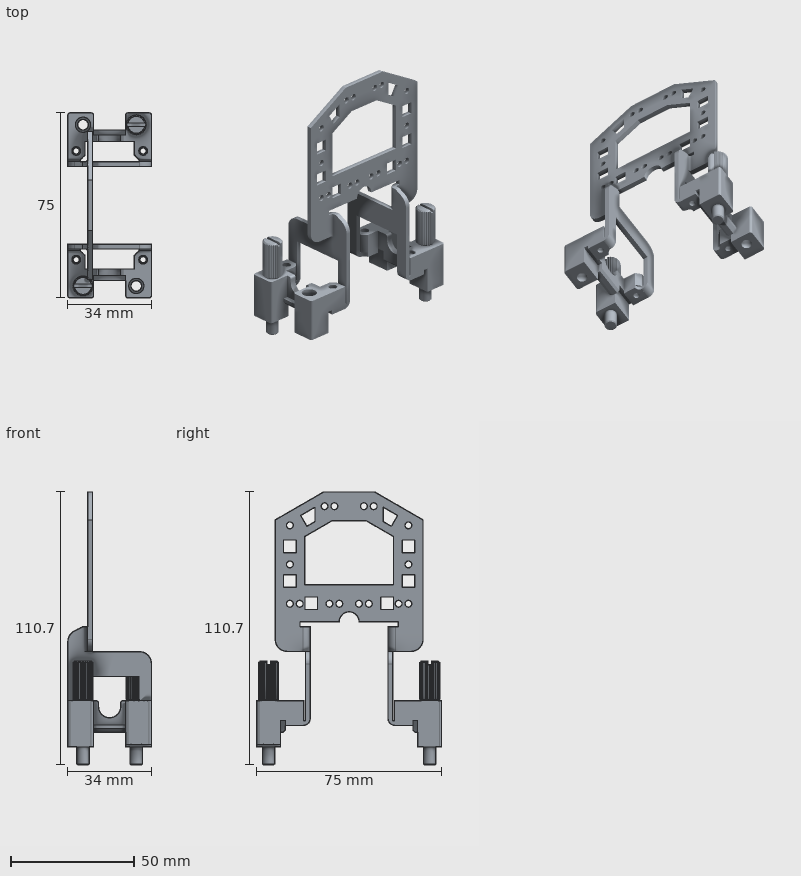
import cadquery as cq
import math

WIDTH = 34.0
DEPTH = 75.0
TOTAL_HEIGHT = 110.7
HALF_WIDTH = WIDTH / 2
HALF_DEPTH = DEPTH / 2
OVERLAP = 0.1
DIAGONAL = math.sqrt(0.5)

SHEET = 2.0
BEND_INNER = 1.0
BEND_OUTER = BEND_INNER + SHEET
CORNER_RADIUS = 5.0

FOOT_LENGTH = 7.3
FOOT_RADIUS = 2.5
FOOT_CHAMFER = 0.4
HEAD_RADIUS = 4.1
HEAD_ROOT_RADIUS = 3.8
HEAD_HEIGHT = 16.0
HEAD_CHAMFER = 0.7
KNURL_TEETH = 32
DRIVER_SLOT_WIDTH = 1.4
DRIVER_SLOT_DEPTH = 1.4
SCREW_FROM_SIDE = 6.2
SCREW_FROM_END = 4.9

BLOCK_WIDTH = 10.5
BLOCK_HEIGHT = 18.7
BLOCK_EDGE_RADIUS = 1.0
HOLE_BLOCK_LIFT = 1.0
LEG_DEPTH = 9.7
ARM_WIDTH = 7.1
ARM_REACH = 19.2
ARM_BOTTOM = 8.6
UNDERCUT_END = 11.7
PIN_HOLE_RADIUS = 2.1
PIN_BORE_RADIUS = 3.1
PIN_BORE_DEPTH = BLOCK_HEIGHT / 2
ARM_BORE_RADIUS = 1.8
ARM_BORE_DEPTH = 1.4
ARM_HOLE_RADIUS = 1.2
ARM_HOLE_FROM_SIDE = 3.4
ARM_HOLE_FROM_END = 15.5

BRIDGE_START = 9.1
BRIDGE_BOTTOM = 5.9
BRIDGE_CHAMFER = 1.0
NOTCH_RADIUS = 4.4
NOTCH_DEPTH = 6.9
NOTCH_LIP_RADIUS = 1.0
BAR_START = 7.0
BAR_TOP = 9.0
BAR_CHAMFER = 1.5

SHEET_INNER_Y = 15.7
SHEET_OUTER_Y = SHEET_INNER_Y + SHEET
STRIP_WIDTH = 5.1
OPENING_TOP = 28.5
CROSSBAR_TOP = 38.6
EAR_TOP = 48.7
EAR_SHOULDER = 45.6
EAR_SLOPE_WIDTH = 6.1
EAR_WIDTH = 7.1
EAR_END = -HALF_WIDTH + EAR_WIDTH

PLATE_TOP = TOTAL_HEIGHT - FOOT_LENGTH
PLATE_BOTTOM = CROSSBAR_TOP
PLATE_X = EAR_END + BEND_INNER
PLATE_HALF = 30.0
PLATE_SHOULDER = 92.0
SLOPE = math.radians(30)
BAY_HALF = 19.8
BAY_TOP = 50.7
BAY_ARCH_RADIUS = 4.0
WINDOW_HALF = 17.9
WINDOW_BOTTOM = 65.8
WINDOW_SHOULDER = 85.2
WINDOW_TOP = 91.5
PLATE_HOLE_RADIUS = 1.3
PLATE_HOLES = [
    (6.0, 97.5), (10.0, 97.5), (24.0, 89.8), (24.0, 74.0),
    (4.0, 58.0), (8.0, 58.0), (20.0, 58.0), (24.0, 58.0),
]
SQUARE_SIDE = 5.0
SQUARE_HOLES = [(24.0, 81.3), (24.0, 67.2), (15.4, 58.2)]
SLANTED_INNER_Y = 13.8
SLANTED_CORNER = (19.6, 93.8)


def box(x0, x1, y0, y1, z0, z1):
    """Box between two opposite corners."""
    return cq.Workplane("XY").box(x1 - x0, y1 - y0, z1 - z0, centered=False).translate((x0, y0, z0))


def cylinder(x, y, z0, radius, height):
    """Upright cylinder standing at height z0."""
    return cq.Workplane("XY", origin=(x, y, z0)).circle(radius).extrude(height)


def knurled_screw(x, y):
    """Knurled, slotted head above a block and a chamfered foot below it."""
    teeth = []
    for i in range(2 * KNURL_TEETH):
        radius = HEAD_ROOT_RADIUS if i % 2 else HEAD_RADIUS
        angle = math.pi * i / KNURL_TEETH
        teeth.append((radius * math.cos(angle), radius * math.sin(angle)))
    head = cq.Workplane("XY").polyline(teeth).close().extrude(HEAD_HEIGHT)
    envelope = cq.Workplane("XY").circle(HEAD_RADIUS).extrude(HEAD_HEIGHT)
    head = head.intersect(envelope.edges().chamfer(HEAD_CHAMFER))
    slot = cq.Workplane("XY").box(3 * HEAD_RADIUS, DRIVER_SLOT_WIDTH, 2 * DRIVER_SLOT_DEPTH)
    head = head.cut(slot.translate((0, 0, HEAD_HEIGHT)))
    foot = cylinder(x, y, -FOOT_LENGTH, FOOT_RADIUS, FOOT_LENGTH + OVERLAP)
    foot = foot.faces("<Z").chamfer(FOOT_CHAMFER)
    return head.translate((x, y, BLOCK_HEIGHT)).union(foot)


def block(side, bottom):
    """L-shaped block on one X side of the -Y bracket; its leg ends at the given height."""
    end = -HALF_DEPTH
    leg_end = end + LEG_DEPTH
    arm_end = end + ARM_REACH
    arm_edge = -HALF_WIDTH + ARM_WIDTH
    arm_corner = ARM_WIDTH - STRIP_WIDTH
    leg = box(-HALF_WIDTH, -HALF_WIDTH + BLOCK_WIDTH, end, leg_end, bottom, BLOCK_HEIGHT)
    leg = leg.edges("|Z and <Y").fillet(BLOCK_EDGE_RADIUS)
    arm = (
        cq.Workplane("XY", origin=(0, 0, ARM_BOTTOM))
        .polyline([
            (-HALF_WIDTH, leg_end - OVERLAP),
            (arm_edge, leg_end - OVERLAP),
            (arm_edge, arm_end - arm_corner),
            (arm_edge - arm_corner, arm_end),
            (-HALF_WIDTH, arm_end),
        ])
        .close()
        .extrude(BLOCK_HEIGHT - ARM_BOTTOM)
    )
    undercut = box(-HALF_WIDTH, 0, leg_end, end + UNDERCUT_END, ARM_BOTTOM, ARM_BOTTOM + SHEET)
    relief = cylinder(arm_edge, arm_end, ARM_BOTTOM, arm_corner, SHEET)
    hole_x = -HALF_WIDTH + ARM_HOLE_FROM_SIDE
    hole_y = end + ARM_HOLE_FROM_END
    arm_hole = cylinder(hole_x, hole_y, ARM_BOTTOM, ARM_HOLE_RADIUS, BLOCK_HEIGHT - ARM_BOTTOM)
    arm_bore = cylinder(hole_x, hole_y, BLOCK_HEIGHT - ARM_BORE_DEPTH, ARM_BORE_RADIUS, ARM_BORE_DEPTH)
    body = leg.union(arm.cut(undercut)).cut(relief).cut(arm_hole).cut(arm_bore)
    return body if side < 0 else body.mirror("YZ")


def pin_hole(x, y):
    """Stepped through hole of a block without a screw."""
    bore = cylinder(x, y, BLOCK_HEIGHT - PIN_BORE_DEPTH, PIN_BORE_RADIUS, PIN_BORE_DEPTH)
    return cylinder(x, y, 0, PIN_HOLE_RADIUS, BLOCK_HEIGHT).union(bore)


def bridge():
    """Wall with a U notch and a low bar, joining the two blocks of the -Y bracket."""
    top_half = HALF_WIDTH - ARM_WIDTH + OVERLAP
    gap_half = HALF_WIDTH - BLOCK_WIDTH
    start = -HALF_DEPTH + BRIDGE_START
    stop = -HALF_DEPTH + UNDERCUT_END
    wall = box(-gap_half, gap_half, start, stop, BRIDGE_BOTTOM, BLOCK_HEIGHT)
    wall = wall.edges(">Y and <Z").chamfer(BRIDGE_CHAMFER)
    wall = wall.union(box(-top_half, top_half, start, stop, ARM_BOTTOM + SHEET, BLOCK_HEIGHT))
    bar_half = gap_half + OVERLAP
    bar_start = -HALF_DEPTH + BAR_START
    bar_stop = -HALF_DEPTH + LEG_DEPTH
    bar = box(-bar_half, bar_half, bar_start, bar_stop, BRIDGE_BOTTOM, BAR_TOP)
    bar = bar.edges("<Y and <Z").chamfer(BAR_CHAMFER)
    floor = BLOCK_HEIGHT - NOTCH_DEPTH
    centre = floor + NOTCH_RADIUS
    lip = NOTCH_LIP_RADIUS
    lip_arc = lip * (1 - DIAGONAL)
    wide = NOTCH_RADIUS + lip
    mid = NOTCH_RADIUS + lip_arc
    notch = (
        cq.Workplane("XZ")
        .moveTo(-wide, BLOCK_HEIGHT)
        .threePointArc((-mid, BLOCK_HEIGHT - lip_arc), (-NOTCH_RADIUS, BLOCK_HEIGHT - lip))
        .lineTo(-NOTCH_RADIUS, centre)
        .threePointArc((0, floor), (NOTCH_RADIUS, centre))
        .lineTo(NOTCH_RADIUS, BLOCK_HEIGHT - lip)
        .threePointArc((mid, BLOCK_HEIGHT - lip_arc), (wide, BLOCK_HEIGHT))
        .close()
        .extrude(HALF_DEPTH)
    )
    return wall.union(bar).cut(notch)


def upright():
    """Upright sheet of the -Y bracket, with its foot bends and the bend into the face plate."""
    sheet = (
        cq.Workplane("XZ", origin=(0, -SHEET_INNER_Y, 0))
        .polyline([
            (-HALF_WIDTH, ARM_BOTTOM + BEND_OUTER),
            (-HALF_WIDTH, EAR_SHOULDER),
            (-HALF_WIDTH + EAR_SLOPE_WIDTH, EAR_TOP),
            (EAR_END, EAR_TOP),
            (EAR_END, CROSSBAR_TOP),
            (HALF_WIDTH, CROSSBAR_TOP),
            (HALF_WIDTH, ARM_BOTTOM + BEND_OUTER),
        ])
        .close()
        .extrude(SHEET)
    )
    shoulder = cq.selectors.NearestToPointSelector((-HALF_WIDTH, -SHEET_INNER_Y, EAR_SHOULDER))
    corner = cq.selectors.NearestToPointSelector((HALF_WIDTH, -SHEET_INNER_Y, CROSSBAR_TOP))
    sheet = sheet.edges("|Y").edges(shoulder).fillet(CORNER_RADIUS)
    sheet = sheet.edges("|Y").edges(corner).fillet(CORNER_RADIUS)
    bend_start = -SHEET_INNER_Y - BEND_OUTER
    bend_end = ARM_BOTTOM + BEND_OUTER
    foot = (
        cq.Workplane("YZ", origin=(-HALF_WIDTH, 0, 0))
        .moveTo(bend_start - OVERLAP, ARM_BOTTOM)
        .lineTo(bend_start, ARM_BOTTOM)
        .threePointArc((bend_start + BEND_OUTER * DIAGONAL, bend_end - BEND_OUTER * DIAGONAL),
                       (-SHEET_INNER_Y, bend_end))
        .lineTo(-SHEET_OUTER_Y, bend_end)
        .lineTo(-SHEET_OUTER_Y, ARM_BOTTOM + SHEET)
        .lineTo(bend_start - OVERLAP, ARM_BOTTOM + SHEET)
        .close()
        .extrude(WIDTH)
    )
    sheet = sheet.union(foot)
    opening_half = HALF_WIDTH - STRIP_WIDTH
    sheet = sheet.cut(box(-opening_half, opening_half, -HALF_DEPTH, 0, 0, OPENING_TOP))
    bend_y = -SHEET_OUTER_Y - BEND_INNER
    bend = (
        cq.Workplane("XY", origin=(EAR_END, bend_y, CROSSBAR_TOP))
        .moveTo(0, BEND_INNER)
        .threePointArc((BEND_INNER * DIAGONAL, BEND_INNER * DIAGONAL), (BEND_INNER, 0))
        .lineTo(BEND_OUTER, 0)
        .threePointArc((BEND_OUTER * DIAGONAL, BEND_OUTER * DIAGONAL), (0, BEND_OUTER))
        .close()
        .extrude(EAR_TOP - CROSSBAR_TOP)
    )
    tab = box(PLATE_X, PLATE_X + SHEET, -BAY_HALF - OVERLAP, bend_y, CROSSBAR_TOP, EAR_TOP)
    return sheet.union(bend).union(tab)


def plate_prism(points):
    """Closed Y-Z outline extruded through the thickness of the face plate."""
    return cq.Workplane("YZ", origin=(PLATE_X, 0, 0)).polyline(points).close().extrude(SHEET)


def gabled(half, bottom, shoulder, top):
    """Symmetric outline with upright sides, sloping shoulders and a flat top."""
    top_half = half - (top - shoulder) / math.tan(SLOPE)
    return [(-half, bottom), (half, bottom), (half, shoulder),
            (top_half, top), (-top_half, top), (-half, shoulder)]


def slanted_hole(side):
    """Hole with two edges along the sloping shoulder and an upright inner edge."""
    y, z = SLANTED_CORNER
    low_y = y - SQUARE_SIDE * math.sin(SLOPE)
    low_z = z - SQUARE_SIDE * math.cos(SLOPE)
    points = [
        (y, z),
        (SLANTED_INNER_Y, z + (y - SLANTED_INNER_Y) * math.tan(SLOPE)),
        (SLANTED_INNER_Y, low_z + (low_y - SLANTED_INNER_Y) * math.tan(SLOPE)),
        (low_y, low_z),
    ]
    return plate_prism([(side * y, z) for y, z in points])


def face_plate():
    """Gabled plate with its window, lower bay and rows of mounting holes."""
    plate = plate_prism(gabled(PLATE_HALF, PLATE_BOTTOM, PLATE_SHOULDER, PLATE_TOP))
    plate = plate.edges("|X and <Z").fillet(CORNER_RADIUS)
    plate = plate.cut(plate_prism(gabled(WINDOW_HALF, WINDOW_BOTTOM, WINDOW_SHOULDER, WINDOW_TOP)))
    plate = plate.cut(box(PLATE_X, PLATE_X + SHEET, -BAY_HALF, BAY_HALF, PLATE_BOTTOM, BAY_TOP))
    layout = cq.Workplane("YZ", origin=(PLATE_X, 0, 0))
    plate = plate.cut(layout.center(0, BAY_TOP).circle(BAY_ARCH_RADIUS).extrude(SHEET))
    for side in (-1, 1):
        rounds = [(side * y, z) for y, z in PLATE_HOLES]
        squares = [(side * y, z) for y, z in SQUARE_HOLES]
        plate = plate.cut(layout.pushPoints(rounds).circle(PLATE_HOLE_RADIUS).extrude(SHEET))
        plate = plate.cut(layout.pushPoints(squares).rect(SQUARE_SIDE, SQUARE_SIDE).extrude(SHEET))
        plate = plate.cut(slanted_hole(side))
    return plate


def bracket(screw_side):
    """Complete -Y bracket with its screw on the given X side and a pin hole on the other."""
    screw_x = screw_side * (HALF_WIDTH - SCREW_FROM_SIDE)
    screw_y = -HALF_DEPTH + SCREW_FROM_END
    body = upright().union(bridge())
    body = body.union(block(screw_side, 0)).union(block(-screw_side, HOLE_BLOCK_LIFT))
    body = body.cut(pin_hole(-screw_x, screw_y))
    return body.union(knurled_screw(screw_x, screw_y))


result = face_plate().union(bracket(-1)).union(bracket(1).mirror("XZ"))